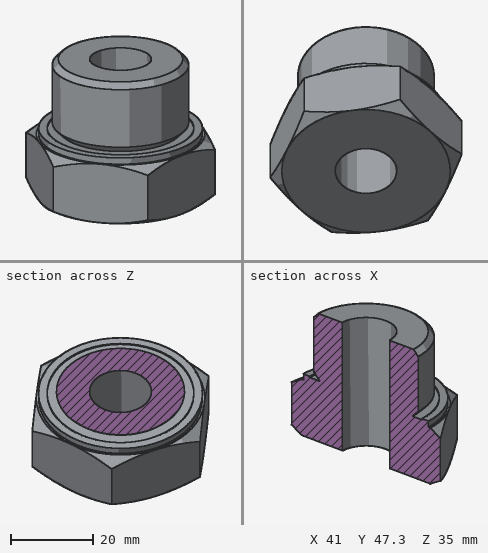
import cadquery as cq
import math

across_flats = 41.0
total_height = 35.0
spigot_length = 18.0
spigot_diameter = 33.25
spigot_chamfer = 1.48
collar_height = 1.65
collar_diameter = 39.9
seat_recess_diameter = 35.7
seat_recess_depth = 0.3
neck_diameter = 29.7
bore_diameter = 14.95

hex_sides = 6
half_side_angle = 180.0 / hex_sides
hex_chamfer_angle = 30.0

flat_radius = across_flats / 2
corner_radius = flat_radius / math.cos(math.radians(half_side_angle))
corner_drop = (corner_radius - flat_radius) * math.tan(math.radians(hex_chamfer_angle))
seat_z = total_height - spigot_length
hex_height = seat_z - collar_height


def make_hex():
    """Hexagon with two flats facing +X and -X, its corners chamfered by cones at both ends."""
    prism = (
        cq.Workplane("XY")
        .polygon(hex_sides, 2 * corner_radius)
        .extrude(hex_height)
        .rotate((0, 0, 0), (0, 0, 1), half_side_angle)
    )
    chamfer_envelope = (
        cq.Workplane("XZ")
        .lineTo(flat_radius, 0)
        .lineTo(corner_radius, corner_drop)
        .lineTo(corner_radius, hex_height - corner_drop)
        .lineTo(flat_radius, hex_height)
        .lineTo(0, hex_height)
        .close()
        .revolve(360, (0, 0, 0), (0, 1, 0))
    )
    return prism.intersect(chamfer_envelope)


def make_collar_and_spigot():
    """Round collar with a shallow seat recess, conical undercut and chamfered spigot."""
    collar_radius = collar_diameter / 2
    recess_radius = seat_recess_diameter / 2
    neck_radius = neck_diameter / 2
    spigot_radius = spigot_diameter / 2
    recess_z = seat_z - seat_recess_depth
    undercut_top_z = recess_z + spigot_radius - neck_radius
    return (
        cq.Workplane("XZ")
        .moveTo(0, hex_height)
        .lineTo(collar_radius, hex_height)
        .lineTo(collar_radius, seat_z)
        .lineTo(recess_radius, seat_z)
        .lineTo(recess_radius, recess_z)
        .lineTo(neck_radius, recess_z)
        .lineTo(spigot_radius, undercut_top_z)
        .lineTo(spigot_radius, total_height - spigot_chamfer)
        .lineTo(spigot_radius - spigot_chamfer, total_height)
        .lineTo(0, total_height)
        .close()
        .revolve(360, (0, 0, 0), (0, 1, 0))
    )


def make_bore():
    """Straight bore through the full height."""
    return cq.Workplane("XY").circle(bore_diameter / 2).extrude(total_height)


result = make_hex().union(make_collar_and_spigot()).cut(make_bore())